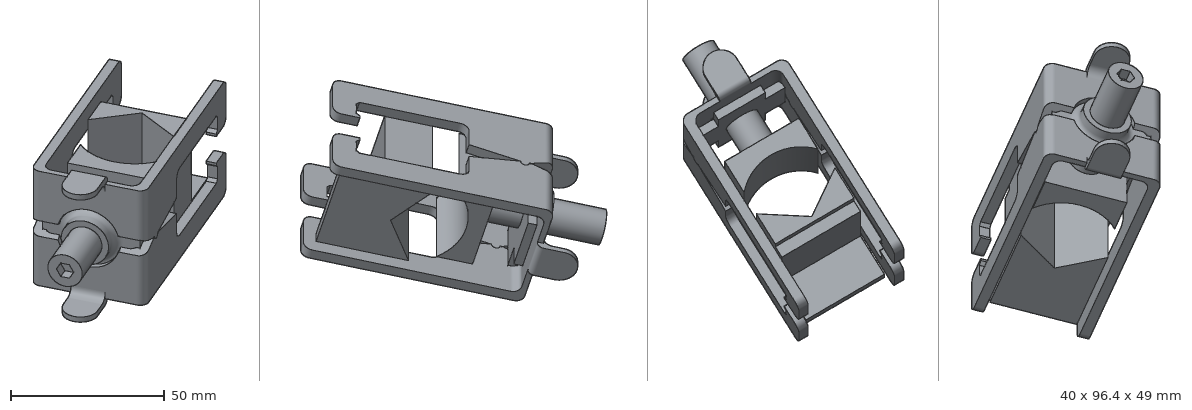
import cadquery as cq


FRAME_WIDTH = 40.0
FRAME_HALF_HEIGHT = 22.0
FRAME_BACK = 75.0
SIDE_WALL = 3.6
FRONT_WALL = 2.0
FRAME_CORNER_RADIUS = 3.0
INNER_BEND_RADIUS = 3.0
WINDOW_FRONT = 28.9
WINDOW_BACK = 67.0
WINDOW_HALF_HEIGHT = 12.9
WINDOW_CORNER_RADIUS = 3.0
WINDOW_CHAMFER = 1.1
HOOK_GAP_HALF = 5.1
LIP_LENGTH = 1.3
LIP_THICKNESS = 1.0
NOTCH_HALF_HEIGHT = 3.0
FRONT_NOTCH_DEPTH = 8.0
COLLAR_HOLE_DIAMETER = 21.8

HINGE_Y = 10.0
HINGE_RADIUS = 1.4

TAB_WIDTH = 12.0
TAB_TOP = 24.5
TAB_REACH = 13.0
TAB_OUTER_RADIUS = 2.0
TAB_INNER_RADIUS = 3.0

NUT_SPAN = 34.0
NUT_ARM_WIDTH = 17.9
NUT_FRONT = 3.0
NUT_THICKNESS = 3.0
COLLAR_DIAMETER = 16.5
COLLAR_PROJECTION = 3.0
COLLAR_FILLET = 2.9

SCREW_DIAMETER = 12.0
SCREW_PROJECTION = 21.4
SOCKET_SIDES = 6
SOCKET_ACROSS_CORNERS = 6.0
SOCKET_DEPTH = 3.9
CRADLE_BACK = 30.75
CRADLE_FRONT = 18.5
CRADLE_SADDLE = 24.5
CRADLE_WIDTH = 28.2
CRADLE_HALF_HEIGHT = 15.0

JAW_WIDTH = 30.0
JAW_HALF_HEIGHT = 19.0
JAW_FOOT_THICKNESS = 4.05
JAW_FOOT_BACK = 71.1
JAW_BACK = 56.0
JAW_STEP_LENGTH = 4.1
JAW_STEP_HEIGHT = 3.5
JAW_TIPS = 39.9
JAW_VEE_BOTTOM = 50.0


def x_prism(outline, width):
    """Prism with a (Y, Z) outline, centred on X = 0."""
    return cq.Workplane("YZ").polyline(outline).close().extrude(width / 2, both=True)


def y_cylinder(diameter, y_front, y_back):
    """Cylinder on the screw axis."""
    return (
        cq.Workplane("XZ", origin=(0, y_front, 0))
        .circle(diameter / 2)
        .extrude(y_front - y_back)
    )


def x_edge_at(y, z):
    """Selector for the edge along X that passes closest to the given Y and Z."""
    return cq.selectors.NearestToPointSelector((0, y, z))


def channel_block(width, y_front, corner_radius):
    """Block from y_front to the back of the frame, standing on Z = 0, with round front corners."""
    return (
        cq.Workplane("XY", origin=(0, y_front, 0))
        .box(width, FRAME_BACK - y_front, FRAME_HALF_HEIGHT, centered=(True, False, False))
        .edges("|Z and <Y")
        .fillet(corner_radius)
    )


def frame_channel():
    """U-shaped channel, open to the back."""
    outer = channel_block(FRAME_WIDTH, 0, FRAME_CORNER_RADIUS)
    inner = channel_block(FRAME_WIDTH - 2 * SIDE_WALL, FRONT_WALL, INNER_BEND_RADIUS)
    return outer.cut(inner)


def frame_side():
    """Side outline of the upper half: hook, half window and the slopes of both notches."""
    lip_y = WINDOW_BACK - LIP_LENGTH
    lip_z = HOOK_GAP_HALF + LIP_THICKNESS
    outline = [
        (0, NOTCH_HALF_HEIGHT),
        (FRONT_NOTCH_DEPTH, 0),
        (HINGE_Y + HINGE_RADIUS, 0),
        (WINDOW_FRONT, NOTCH_HALF_HEIGHT),
        (WINDOW_FRONT, WINDOW_HALF_HEIGHT),
        (WINDOW_BACK, WINDOW_HALF_HEIGHT),
        (WINDOW_BACK, lip_z + WINDOW_CHAMFER),
        (lip_y, lip_z),
        (lip_y, HOOK_GAP_HALF),
        (FRAME_BACK, HOOK_GAP_HALF),
        (FRAME_BACK, FRAME_HALF_HEIGHT),
        (0, FRAME_HALF_HEIGHT),
    ]
    return (
        x_prism(outline, FRAME_WIDTH)
        .edges(x_edge_at(WINDOW_FRONT, WINDOW_HALF_HEIGHT))
        .fillet(WINDOW_CORNER_RADIUS)
        .edges(x_edge_at(WINDOW_BACK, WINDOW_HALF_HEIGHT))
        .chamfer(WINDOW_CHAMFER)
        .edges(x_edge_at(FRAME_BACK, HOOK_GAP_HALF))
        .fillet(FRAME_CORNER_RADIUS)
        .edges(x_edge_at(FRAME_BACK, FRAME_HALF_HEIGHT))
        .fillet(FRAME_CORNER_RADIUS)
    )


def release_tab():
    """Tab bent forward from the top of the front wall, with a round tip."""
    tab_bottom = TAB_TOP - FRONT_WALL
    bend_bottom = tab_bottom - TAB_INNER_RADIUS
    bent_strip = (
        cq.Workplane("YZ")
        .moveTo(FRONT_WALL, bend_bottom)
        .lineTo(FRONT_WALL, TAB_TOP - TAB_OUTER_RADIUS)
        .tangentArcPoint((FRONT_WALL - TAB_OUTER_RADIUS, TAB_TOP), relative=False)
        .lineTo(-TAB_REACH, TAB_TOP)
        .lineTo(-TAB_REACH, tab_bottom)
        .lineTo(-TAB_INNER_RADIUS, tab_bottom)
        .tangentArcPoint((0, bend_bottom), relative=False)
        .close()
        .extrude(TAB_WIDTH / 2, both=True)
    )
    tip_y = TAB_WIDTH / 2 - TAB_REACH
    footprint = (
        cq.Workplane("XY")
        .moveTo(-TAB_WIDTH / 2, FRONT_WALL)
        .lineTo(-TAB_WIDTH / 2, tip_y)
        .threePointArc((0, -TAB_REACH), (TAB_WIDTH / 2, tip_y))
        .lineTo(TAB_WIDTH / 2, FRONT_WALL)
        .close()
        .extrude(TAB_TOP)
    )
    return bent_strip.intersect(footprint)


def hinge_cylinders():
    """One cylinder through each side wall, on the line where the halves rock."""
    wall_x = (FRAME_WIDTH - SIDE_WALL) / 2
    cylinders = cq.Workplane("XY")
    for x in (-wall_x, wall_x):
        cylinders = cylinders.union(
            cq.Workplane("YZ", origin=(x, HINGE_Y, 0))
            .circle(HINGE_RADIUS)
            .extrude(SIDE_WALL / 2, both=True)
        )
    return cylinders


def nut_cross():
    """Cross-shaped plate that the frame's side walls and front wall enclose."""
    wings = cq.Workplane("XY").box(NUT_SPAN, NUT_THICKNESS, NUT_ARM_WIDTH)
    posts = cq.Workplane("XY").box(NUT_ARM_WIDTH, NUT_THICKNESS, NUT_SPAN)
    return wings.union(posts).translate((0, NUT_FRONT + NUT_THICKNESS / 2, 0))


def frame_half():
    """Upper half without its hinge ridges and nut recesses."""
    return (
        frame_channel()
        .intersect(frame_side())
        .union(release_tab())
        .cut(y_cylinder(COLLAR_HOLE_DIAMETER, 0, FRONT_WALL))
    )


def upper_frame():
    """Half with round hinge ridges below and shallow recesses for the nut's ends."""
    return frame_half().union(hinge_cylinders()).cut(nut_cross())


def lower_frame():
    """Mirrored half with hinge grooves that receive the ridges of the upper half."""
    return frame_half().mirror("XY").cut(hinge_cylinders()).cut(nut_cross())


def nut():
    """Cross plate with a collar that flares into it, bored for the screw."""
    collar_radius = COLLAR_DIAMETER / 2
    flare_radius = collar_radius + COLLAR_FILLET
    flare_front = NUT_FRONT - COLLAR_FILLET
    collar = (
        cq.Workplane("XY")
        .moveTo(0, -COLLAR_PROJECTION)
        .lineTo(collar_radius, -COLLAR_PROJECTION)
        .lineTo(collar_radius, flare_front)
        .radiusArc((flare_radius, NUT_FRONT), COLLAR_FILLET)
        .lineTo(0, NUT_FRONT)
        .close()
        .revolve(360, (0, 0, 0), (0, 1, 0))
    )
    bore = y_cylinder(SCREW_DIAMETER, -COLLAR_PROJECTION, NUT_FRONT + NUT_THICKNESS)
    return nut_cross().union(collar).cut(bore)


def cradle_screw():
    """Screw with a hex socket in front and the hollowed cradle jaw on its back end."""
    half_width = CRADLE_WIDTH / 2
    cradle = (
        cq.Workplane("XY")
        .moveTo(-half_width, CRADLE_BACK)
        .threePointArc((0, CRADLE_SADDLE), (half_width, CRADLE_BACK))
        .lineTo(half_width, CRADLE_FRONT)
        .lineTo(-half_width, CRADLE_FRONT)
        .close()
        .extrude(CRADLE_HALF_HEIGHT, both=True)
    )
    socket = (
        cq.Workplane("XZ", origin=(0, -SCREW_PROJECTION, 0))
        .polygon(SOCKET_SIDES, SOCKET_ACROSS_CORNERS)
        .extrude(-SOCKET_DEPTH)
    )
    shank = y_cylinder(SCREW_DIAMETER, -SCREW_PROJECTION, CRADLE_FRONT).cut(socket)
    return cradle.union(shank)


def vee_jaw():
    """Fixed jaw with a V mouth, a step along its top back edge and a foot to the back."""
    foot_top = JAW_FOOT_THICKNESS - JAW_HALF_HEIGHT
    step_z = JAW_HALF_HEIGHT - JAW_STEP_HEIGHT
    profile = [
        (JAW_TIPS, -JAW_HALF_HEIGHT),
        (JAW_FOOT_BACK, -JAW_HALF_HEIGHT),
        (JAW_FOOT_BACK, foot_top),
        (JAW_BACK, foot_top),
        (JAW_BACK, step_z),
        (JAW_BACK - JAW_STEP_LENGTH, step_z),
        (JAW_BACK - JAW_STEP_LENGTH, JAW_HALF_HEIGHT),
        (JAW_TIPS, JAW_HALF_HEIGHT),
    ]
    mouth = (
        cq.Workplane("XY")
        .moveTo(-JAW_WIDTH / 2, JAW_TIPS)
        .lineTo(0, JAW_VEE_BOTTOM)
        .lineTo(JAW_WIDTH / 2, JAW_TIPS)
        .close()
        .extrude(JAW_HALF_HEIGHT, both=True)
    )
    return x_prism(profile, JAW_WIDTH).cut(mouth)


result = cq.Compound.makeCompound(
    [
        upper_frame().val(),
        lower_frame().val(),
        nut().val(),
        cradle_screw().val(),
        vee_jaw().val(),
    ]
)